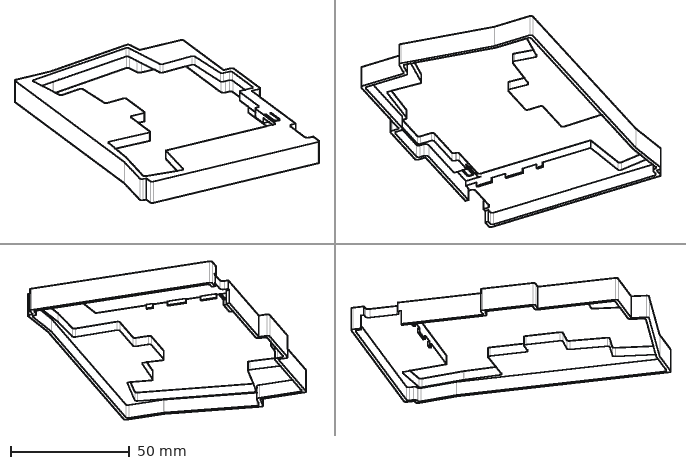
import cadquery as cq
import math

length = 123.9
depth = 88.5
height = 9.9
plate_thickness = 4.0
wall = 1.5
corner_radius = 1.0
plate_bottom = height - plate_thickness

body_left = 7.2
body_bottom = 2.5
body_top = 84.0

tab_left = 42.0
tab_right = 65.9
tab_overlap = 3.0

wing_angle = 10.0
wing_corner_y = 62.0
wing_size = (18.6, 47.1)
tail_angle = 8.0
tail_corner_x = 119.3
tail_size = (22.3, 9.9)

notch_left = 103.3
notch_right = 118.0
notch_floor = 80.6
notch_radius = 1.5

slot_width = 0.5
button_left = 88.8
button_right = 96.8
button_low = 77.4
button_high = 80.0
button_radius = 0.9
button_thickness = 1.6

right_plate_left = 99.5
right_plate_bottom = 23.3
right_plate_top = 76.5

rib_spans = ((70.5, 77.5), (55.6, 63.8), (46.2, 49.0))
rib_height = 1.7
rib_thickness = 0.9

opening_points = (
    (2.6, 60.0), (11.4, 8.8),
    (30.1, 12.0), (28.2, 23.2), (46.3, 24.4), (45.6, 34.5),
    (62.7, 34.5), (62.7, 26.9), (80.6, 26.9), (80.2, 6.2),
    (97.2, 5.5), (117.3, 2.5), (119.9, 20.5),
    (right_plate_left, right_plate_bottom), (right_plate_left, right_plate_top),
    (81.3, right_plate_top), (81.3, 79.0),
    (63.5, 79.0), (63.5, 86.2), (44.6, 86.2), (44.6, 81.4),
    (23.4, 80.0), (24.4, 63.8),
)


def block(x_min, x_max, y_min, y_max, z_min=0.0, z_max=height):
    """Upright box between the given limits."""
    size = (x_max - x_min, y_max - y_min, z_max - z_min)
    return cq.Workplane("XY").box(*size, centered=False).translate((x_min, y_min, z_min))


def rounded(solid, radius=corner_radius):
    """Round the vertical edges."""
    return solid.edges("|Z").fillet(radius)


def corner_offset(angle):
    """Distance a rounded, tilted square corner falls short of its sharp tip."""
    tilt = math.radians(angle)
    return corner_radius * (math.sin(tilt) + math.cos(tilt) - 1)


def make_outline():
    """Full-height solid within the outer walls."""
    body = rounded(block(body_left, length, body_bottom, body_top))
    tab = rounded(block(tab_left, tab_right, body_top - tab_overlap, depth))

    wing_x, wing_y = wing_size
    wing = rounded(block(0, wing_x, -wing_y, 0))
    wing = wing.rotate((0, 0, 0), (0, 0, 1), wing_angle)
    wing = wing.translate((-corner_offset(wing_angle), wing_corner_y, 0))

    tail_x, tail_y = tail_size
    tail = rounded(block(-tail_x, 0, 0, tail_y))
    tail = tail.rotate((0, 0, 0), (0, 0, 1), -tail_angle)
    tail = tail.translate((tail_corner_x, -corner_offset(tail_angle), 0))
    return body.union(tab).union(wing).union(tail)


def make_cavity(outline):
    """Hollow below the plate, one wall thickness inside the outline.

    Shrinking too far and growing back leaves its inner corners rounded.
    """
    shrunk = outline.faces("<Z").wires().toPending().offset2D(-wall - corner_radius)
    shrunk = shrunk.extrude(plate_bottom, combine=False)
    grown = shrunk.faces("<Z").wires().toPending().offset2D(corner_radius)
    return grown.extrude(plate_bottom, combine=False)


def make_key_opening():
    """Opening through the plate, rounded at every corner but the front left one of the right-hand plate."""
    opening = cq.Workplane("XY").polyline(opening_points).close().extrude(height)
    sharp_corner = cq.Vector(right_plate_left, right_plate_bottom, height / 2)
    corners = opening.edges("|Z").filter(lambda edge: (edge.Center() - sharp_corner).Length > corner_radius)
    return corners.fillet(corner_radius)


def make_connector_notch():
    """Notch through the rear edge, wider below the plate so that it opens into the cavity."""
    notch = rounded(block(notch_left, notch_right, notch_floor, depth), notch_radius)
    mouth = block(notch_left - wall, notch_right + wall, notch_floor, depth, 0, plate_bottom)
    return notch.union(mouth)


def make_button_cut():
    """U-shaped slot around the button and the relief that thins the plate below it."""
    half = slot_width / 2
    outer = block(button_left, button_right + half, button_low - half, button_high + half)
    inner = block(button_left, button_right - half, button_low + half, button_high - half)
    outer = outer.edges("|Z and >X").fillet(button_radius + half)
    inner = inner.edges("|Z and >X").fillet(button_radius - half)
    relief_low = right_plate_top - corner_radius
    button_bottom = height - button_thickness
    relief = block(button_left, right_plate_left, relief_low, body_top - wall, 0, button_bottom)
    return outer.cut(inner).union(relief)


def make_ribs():
    """Ribs flush with the left edge of the right-hand plate."""
    ribs = cq.Workplane("XY")
    rib_right = right_plate_left + rib_thickness
    for start, end in rib_spans:
        rib = block(right_plate_left, rib_right, start, end, plate_bottom - rib_height, height)
        ribs = ribs.add(rib)
    return ribs.combine()


outline = make_outline()
result = outline.cut(make_cavity(outline))
result = result.cut(make_key_opening())
result = result.cut(make_connector_notch())
result = result.cut(make_button_cut())
result = result.union(make_ribs())